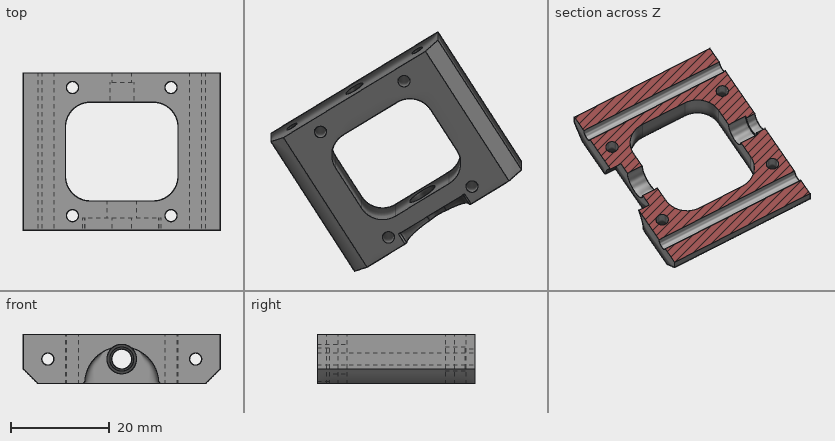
import cadquery as cq

length = 40
width = 32
height = 10
edge_chamfer = 3.0

window_length = 22.8
window_width = 20
window_radius = 5.0

screw_diameter = 2.4
top_hole_spacing_x = 20
top_hole_spacing_y = 26
side_hole_spacing = 30

bore_height = height / 2
front_bore_diameter = 6
back_bore_diameter = 4.9
exit_diameter = 4
wall = (width - window_width) / 2
back_bore_depth = 4

arch_radius = 7.5
arch_depth = 2.5
arch_chamfer = 0.4


def cylinder_along_y(diameter, x, z, y_start, depth):
    """Cylinder running from y_start towards +Y."""
    plane = cq.Plane(origin=(x, y_start, z), xDir=(1, 0, 0), normal=(0, 1, 0))
    return cq.Workplane(plane).circle(diameter / 2).extrude(depth)


block = cq.Workplane("XY").box(length, width, height, centered=(True, True, False))
block = block.edges("|Y and <Z").chamfer(edge_chamfer)

window = cq.Workplane("XY").rect(window_length, window_width).extrude(height)
window = window.edges("|Z").fillet(window_radius)
block = block.cut(window)

top_holes = (
    cq.Workplane("XY")
    .rect(top_hole_spacing_x, top_hole_spacing_y, forConstruction=True)
    .vertices()
    .circle(screw_diameter / 2)
    .extrude(height)
)
block = block.cut(top_holes)

for side in (-1, 1):
    x = side * side_hole_spacing / 2
    block = block.cut(cylinder_along_y(screw_diameter, x, bore_height, -width / 2, width))

front = -width / 2
back_wall_start = window_width / 2
block = block.cut(cylinder_along_y(front_bore_diameter, 0, bore_height, front, wall))
block = block.cut(cylinder_along_y(back_bore_diameter, 0, bore_height, back_wall_start, back_bore_depth))
block = block.cut(cylinder_along_y(exit_diameter, 0, bore_height, back_wall_start, wall))

arch = cylinder_along_y(2 * arch_radius, 0, 0, front, arch_depth)
block = block.cut(arch)
arch_mouth = (
    cq.Workplane("XZ", origin=(0, front, 0))
    .moveTo(-arch_radius - arch_chamfer, 0)
    .lineTo(arch_radius + arch_chamfer, 0)
    .lineTo(arch_radius, arch_chamfer)
    .lineTo(-arch_radius, arch_chamfer)
    .close()
    .extrude(-arch_depth)
)
result = block.cut(arch_mouth)